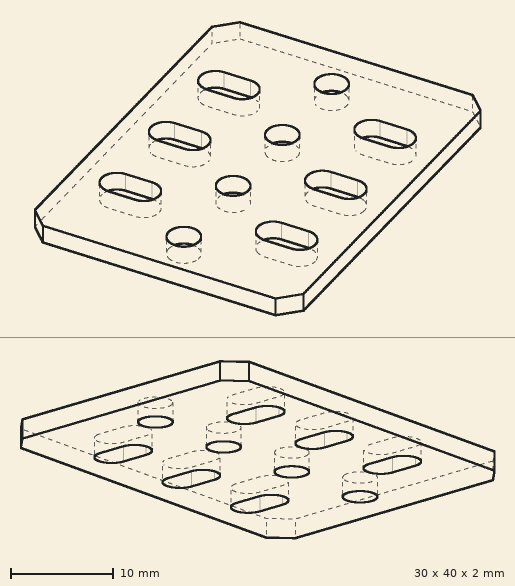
import cadquery as cq

width = 30.0
length = 40.0
thickness = 2.0
corner_chamfer = 2.0

pitch = 10.0
hole_count = 4
slot_rows = hole_count - 1
hole_diameter = 3.4
slot_width = hole_diameter
slot_length = 6.4
slot_column_spacing = 17.45

plate = (
    cq.Workplane("XY")
    .box(width, length, thickness)
    .edges("|Z")
    .chamfer(corner_chamfer)
)

with_holes = (
    plate.faces(">Z")
    .workplane()
    .rarray(pitch, pitch, 1, hole_count)
    .hole(hole_diameter)
)

result = (
    with_holes.faces(">Z")
    .workplane(origin=(0, 0, 0))
    .rarray(slot_column_spacing, pitch, 2, slot_rows)
    .slot2D(slot_length, slot_width)
    .cutThruAll()
)